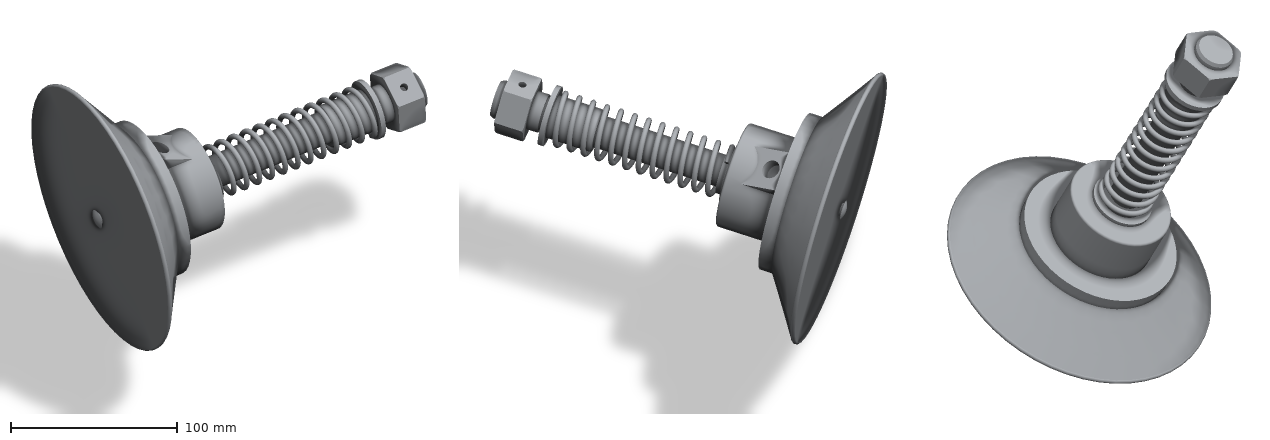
import cadquery as cq
import math

TURN = 5.0

CUP_DIAMETER = 170.9
CUP_FACE_Y = 3.3
RIM_THICKNESS = 2.9
RIM_BULGE = 1.0
FLANGE_DIAMETER = 98.5
FLANGE_BOTTOM_Y = 30.5
FLANGE_TOP_Y = 38.6

BUTTON_DIAMETER = 12.0
BUTTON_EDGE_Y = 1.8
BUTTON_TOP_Y = 2.7
BUTTON_NECK_DIAMETER = 8.0

HUB_DIAMETER = 65.0
HUB_TOP_Y = 71.7
HUB_FILLET = 1.3
WASHER_DIAMETER = 37.5
LOWER_WASHER_TOP_Y = 74.1
COLLAR_DIAMETER = 27.5
COLLAR_TOP_Y = 78.1

SHAFT_DIAMETER = 20.0
SLEEVE_DIAMETER = 26.6
SLEEVE_BOTTOM_Y = 157.1
SLEEVE_CHAMFER = 1.0
UPPER_WASHER_BOTTOM_Y = 186.0
UPPER_WASHER_TOP_Y = 189.0
NECK_DIAMETER = 21.0
STUD_DIAMETER = 24.0
STUD_BOTTOM_Y = 191.5
STUD_TOP_Y = 222.0
STUD_CHAMFER_LENGTH = 2.2
STUD_CHAMFER_DEPTH = 1.0

NUT_CORNER_DIAMETER = 40.8
NUT_BOTTOM_Y = 198.6
NUT_TOP_Y = 216.8
NUT_EDGE_CHAMFER = 0.9
NUT_HOLE_DIAMETER = 4.9
NUT_HOLE_ANGLE = 30.0

WIRE_DIAMETER = 3.3
COIL_RADIUS = 15.5
COIL_TURNS = 12.4
SEAT_OVERLAP = 0.2
SPRING_END_ANGLE = 90.0

BOSS_WIDTH = 25.0
BOSS_BASE_HEIGHT = 40.5
BOSS_TOP_Y = 61.5
PORT_DIAMETER = 11.5
PORT_DEPTH = 7.5
PORT_Y = 46.5
DRILL_TIP_ANGLE = 118.0


def disc(diameter, bottom_y, top_y):
    """Solid cylinder on the Y axis."""
    start = cq.Workplane("XZ", origin=(0, top_y, 0))
    return start.circle(diameter / 2).extrude(top_y - bottom_y)


def revolve_outline(outline):
    return outline.close().revolve(360, (0, 0, 0), (0, 1, 0))


def turn_about_axis(body):
    """Turn a body so its +Z side leans toward -X."""
    return body.rotate((0, 0, 0), (0, 1, 0), -TURN)


def make_cup():
    radius = CUP_DIAMETER / 2
    rim_top = CUP_FACE_Y + RIM_THICKNESS
    return revolve_outline(
        cq.Workplane("XY")
        .moveTo(0, CUP_FACE_Y)
        .lineTo(radius - RIM_BULGE, CUP_FACE_Y)
        .threePointArc((radius, CUP_FACE_Y + RIM_THICKNESS / 2), (radius - RIM_BULGE, rim_top))
        .lineTo(FLANGE_DIAMETER / 2, FLANGE_BOTTOM_Y)
        .lineTo(FLANGE_DIAMETER / 2, FLANGE_TOP_Y)
        .lineTo(0, FLANGE_TOP_Y)
    )


def make_button():
    radius = BUTTON_DIAMETER / 2
    dome_radius = (radius**2 + BUTTON_EDGE_Y**2) / (2 * BUTTON_EDGE_Y)
    mid_x = radius / 2
    mid_y = dome_radius - math.sqrt(dome_radius**2 - mid_x**2)
    head = revolve_outline(
        cq.Workplane("XY")
        .moveTo(0, 0)
        .threePointArc((mid_x, mid_y), (radius, BUTTON_EDGE_Y))
        .lineTo(BUTTON_NECK_DIAMETER / 2, BUTTON_TOP_Y)
        .lineTo(0, BUTTON_TOP_Y)
    )
    return head.union(disc(BUTTON_NECK_DIAMETER, BUTTON_EDGE_Y, CUP_FACE_Y))


def make_stem():
    stem = disc(HUB_DIAMETER, FLANGE_TOP_Y, HUB_TOP_Y).faces(">Y").edges().fillet(HUB_FILLET)
    sleeve = disc(SLEEVE_DIAMETER, SLEEVE_BOTTOM_Y, UPPER_WASHER_BOTTOM_Y)
    stud = disc(STUD_DIAMETER, STUD_BOTTOM_Y, STUD_TOP_Y)
    sections = [
        disc(WASHER_DIAMETER, HUB_TOP_Y, LOWER_WASHER_TOP_Y),
        disc(COLLAR_DIAMETER, LOWER_WASHER_TOP_Y, COLLAR_TOP_Y),
        disc(SHAFT_DIAMETER, COLLAR_TOP_Y, SLEEVE_BOTTOM_Y),
        sleeve.faces("<Y").edges().chamfer(SLEEVE_CHAMFER),
        disc(WASHER_DIAMETER, UPPER_WASHER_BOTTOM_Y, UPPER_WASHER_TOP_Y),
        disc(NECK_DIAMETER, UPPER_WASHER_TOP_Y, STUD_BOTTOM_Y),
        stud.faces(">Y").chamfer(STUD_CHAMFER_LENGTH, STUD_CHAMFER_DEPTH),
    ]
    for section in sections:
        stem = stem.union(section)
    return stem


def make_nut():
    height = NUT_TOP_Y - NUT_BOTTOM_Y
    hexagon = (
        cq.Workplane("XZ", origin=(0, NUT_TOP_Y, 0))
        .transformed(rotate=(0, 0, 90))
        .polygon(6, NUT_CORNER_DIAMETER)
        .extrude(height)
    )
    rounding = disc(NUT_CORNER_DIAMETER, NUT_BOTTOM_Y, NUT_TOP_Y).edges().chamfer(NUT_EDGE_CHAMFER)
    nut = hexagon.intersect(rounding)
    hole = (
        cq.Workplane("XY", origin=(0, (NUT_BOTTOM_Y + NUT_TOP_Y) / 2, STUD_DIAMETER / 2))
        .circle(NUT_HOLE_DIAMETER / 2)
        .extrude(NUT_CORNER_DIAMETER / 2)
        .rotate((0, 0, 0), (0, 1, 0), NUT_HOLE_ANGLE)
    )
    return turn_about_axis(nut.cut(hole))


def make_spring():
    seat_offset = WIRE_DIAMETER / 2 - SEAT_OVERLAP
    top_y = UPPER_WASHER_BOTTOM_Y - seat_offset
    length = top_y - LOWER_WASHER_TOP_Y - seat_offset
    start_angle = SPRING_END_ANGLE - 360 * COIL_TURNS
    helix = cq.Wire.makeHelix(length / COIL_TURNS, length, COIL_RADIUS)
    coil = (
        cq.Workplane("XZ", origin=(COIL_RADIUS, 0, 0))
        .circle(WIRE_DIAMETER / 2)
        .sweep(cq.Workplane(obj=helix), isFrenet=True)
    )
    coil = coil.rotate((0, 0, 0), (0, 0, 1), start_angle)
    return coil.rotate((0, 0, 0), (1, 0, 0), 90).translate((0, top_y, 0))


def make_port_boss():
    top_height = math.sqrt((HUB_DIAMETER / 2) ** 2 - (BOSS_WIDTH / 2) ** 2)
    fall = (BOSS_BASE_HEIGHT - top_height) / (BOSS_TOP_Y - FLANGE_TOP_Y)
    boss = (
        cq.Workplane("YZ")
        .moveTo(FLANGE_TOP_Y, 0)
        .lineTo(BOSS_TOP_Y, 0)
        .lineTo(BOSS_TOP_Y, top_height)
        .lineTo(FLANGE_TOP_Y, BOSS_BASE_HEIGHT)
        .close()
        .extrude(BOSS_WIDTH / 2, both=True)
    )
    port_height = BOSS_BASE_HEIGHT - fall * (PORT_Y - FLANGE_TOP_Y)
    slope_plane = cq.Plane(origin=(0, PORT_Y, port_height), xDir=(1, 0, 0), normal=(0, fall, 1))
    radius = PORT_DIAMETER / 2
    tip_length = radius / math.tan(math.radians(DRILL_TIP_ANGLE / 2))
    port = (
        cq.Workplane(slope_plane)
        .transformed(rotate=(90, 0, 0))
        .lineTo(radius, 0)
        .lineTo(radius, -PORT_DEPTH)
        .lineTo(0, -PORT_DEPTH - tip_length)
        .close()
        .revolve(360, (0, 0, 0), (0, 1, 0))
    )
    return turn_about_axis(boss), turn_about_axis(port)


port_boss, port = make_port_boss()
result = make_cup().union(make_button()).union(make_stem()).union(port_boss).cut(port)
result = result.union(make_nut()).union(make_spring())